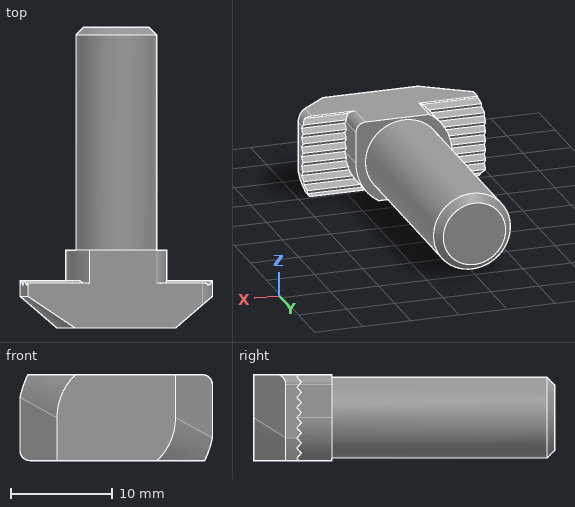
import cadquery as cq
import math


head_length = 19.0
thickness = 8.5
half_thickness = thickness / 2
corner_radius = 1.0

taper_depth = 3.15
base_flat_top = 2.0
face_length = 11.7
face_flat_top = 0.0

neck_width = 10.0
neck_flat_top = 0.0
shoulder_y = 7.7

shank_diameter = 8.0
shank_length = 22.0
tip_chamfer = 0.76

tooth_pitch = 1.0
tooth_depth = 0.45
tooth_tip_y = 4.7
tooth_root_y = tooth_tip_y - tooth_depth


def turning_outline(y, length, flat_top):
    """Closed outline in the plane at y: a rectangle with two opposite corners rounded about the axis.

    The ends are flat up to flat_top; from there an arc centred on the axis runs to the long side.
    """
    end_x = length / 2
    radius = math.hypot(end_x, flat_top)
    side_x = math.sqrt(radius**2 - half_thickness**2)
    start_angle = math.atan2(flat_top, end_x)
    finish_angle = math.atan2(half_thickness, side_x)
    middle_angle = (start_angle + finish_angle) / 2
    mid_x = radius * math.cos(middle_angle)
    mid_z = radius * math.sin(middle_angle)
    return (
        cq.Workplane("XZ", origin=(0, y, 0))
        .moveTo(-end_x, -half_thickness)
        .lineTo(-end_x, flat_top)
        .threePointArc((-mid_x, mid_z), (-side_x, half_thickness))
        .lineTo(end_x, half_thickness)
        .lineTo(end_x, -flat_top)
        .threePointArc((mid_x, -mid_z), (side_x, -half_thickness))
        .close()
    )


def rounded_bar(start_y, end_y, length, flat_top):
    """Prism along Y of the turning outline, with its two square corners rounded."""
    bar = turning_outline(start_y, length, flat_top).extrude(start_y - end_y)
    reach = corner_radius / 2
    for side in (-1, 1):
        corner_x = side * length / 2
        corner_z = side * half_thickness
        corner = cq.selectors.BoxSelector(
            (corner_x - reach, start_y, corner_z - reach),
            (corner_x + reach, end_y, corner_z + reach),
        )
        bar = bar.edges(corner).fillet(corner_radius)
    return bar


def tapered_head():
    """Head from the small outer face to the taper base, with straight rulings between the two outlines."""
    face = turning_outline(0, face_length, face_flat_top)
    base = turning_outline(taper_depth, head_length, base_flat_top)
    taper = cq.Workplane(cq.Solid.makeLoft([face.val(), base.val()], True))
    return taper.intersect(rounded_bar(0, taper_depth, head_length, base_flat_top))


def serrated_head():
    """Full-size part of the head, with teeth running along X on its clamping side."""
    head = rounded_bar(taper_depth, tooth_tip_y, head_length, base_flat_top)
    tooth_spaces_per_side = math.ceil(half_thickness / tooth_pitch)
    for index in range(-tooth_spaces_per_side, tooth_spaces_per_side + 1):
        root_z = index * tooth_pitch
        space = (
            cq.Workplane("YZ")
            .moveTo(tooth_root_y, root_z)
            .lineTo(tooth_tip_y, root_z - tooth_pitch / 2)
            .lineTo(tooth_tip_y, root_z + tooth_pitch / 2)
            .close()
            .extrude(head_length / 2, both=True)
        )
        head = head.cut(space)
    return head


def neck():
    """Narrower neck with the same outline shape, between the head and the shank."""
    return rounded_bar(taper_depth, shoulder_y, neck_width, neck_flat_top)


def shank():
    """Plain round shank with a chamfered tip."""
    return (
        cq.Workplane("XZ", origin=(0, shoulder_y, 0))
        .circle(shank_diameter / 2)
        .extrude(-shank_length)
        .faces(">Y")
        .chamfer(tip_chamfer)
    )


result = tapered_head().union(serrated_head()).union(neck()).union(shank())